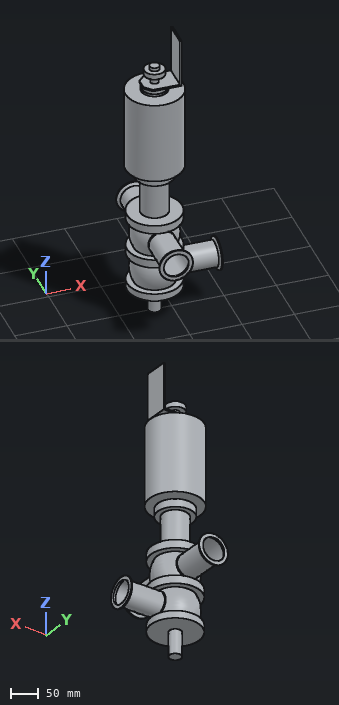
import cadquery as cq

drain_length = 51.0
bottom_flange_height = 15.0
flange_height = 17.0
chamber_height = 57.0
tube_length = 77.0
ring_height = 16.5
neck_length = 5.0
actuator_height = 164.0
collar_height = 4.5
seat_height = 7.5
stem_length = 20.5
knob_height = 11.0
tip_height = 7.0

drain_diameter = 25.0
flange_diameter = 105.0
chamber_end_diameter = 79.0
chamber_mid_diameter = 93.0
tube_diameter = 54.0
ring_diameter = 76.0
actuator_diameter = 111.0
collar_diameter = 51.0
seat_diameter = 50.0
stem_diameter = 16.0
knob_diameter = 40.0
tip_diameter = 19.5

port_span = 240.0
port_reach = port_span / 2
port_diameter = 51.0
port_bore = 47.5
ferrule_diameter = 64.0
ferrule_rim = 2.5
ferrule_taper = 3.5

total_height = 586.5
bracket_width = 50.0
bracket_thickness = 3.5
bracket_left = -25.0
bracket_right = 43.5
bracket_corner = 14.0

bottom_flange_z = drain_length
lower_chamber_z = bottom_flange_z + bottom_flange_height
middle_flange_z = lower_chamber_z + chamber_height
upper_chamber_z = middle_flange_z + flange_height
top_flange_z = upper_chamber_z + chamber_height
tube_z = top_flange_z + flange_height
ring_z = tube_z + tube_length
neck_z = ring_z + ring_height
actuator_z = neck_z + neck_length
collar_z = actuator_z + actuator_height
seat_z = collar_z + collar_height
bracket_z = seat_z + seat_height
knob_z = bracket_z + stem_length
tip_z = knob_z + knob_height
lower_port_z = lower_chamber_z + chamber_height / 2
upper_port_z = upper_chamber_z + chamber_height / 2


def disc(diameter, z, height):
    """Upright cylinder on the valve axis."""
    return cq.Workplane("XY").workplane(offset=z).circle(diameter / 2).extrude(height)


def make_chamber(z):
    """Solid barrel with a bulging arc as its side."""
    return (
        cq.Workplane("XZ")
        .moveTo(0, z)
        .lineTo(chamber_end_diameter / 2, z)
        .threePointArc(
            (chamber_mid_diameter / 2, z + chamber_height / 2),
            (chamber_end_diameter / 2, z + chamber_height),
        )
        .lineTo(0, z + chamber_height)
        .close()
        .revolve(360, (0, 0, 0), (0, 1, 0))
    )


def make_port(z, angle):
    """Tube with a tapered ferrule, pointing along +X and then turned about Z."""
    rim_x = port_reach - ferrule_rim
    port = (
        cq.Workplane("XZ")
        .moveTo(0, port_bore / 2)
        .lineTo(port_reach, port_bore / 2)
        .lineTo(port_reach, ferrule_diameter / 2)
        .lineTo(rim_x, ferrule_diameter / 2)
        .lineTo(rim_x - ferrule_taper, port_diameter / 2)
        .lineTo(0, port_diameter / 2)
        .close()
        .revolve(360, (0, 0, 0), (1, 0, 0))
    )
    return port.translate((0, 0, z)).rotate((0, 0, 0), (0, 0, 1), angle)


def make_valve():
    """Valve body, actuator and indicator stem as one solid."""
    valve = disc(drain_diameter, 0, drain_length)
    for diameter, z, height in [
        (flange_diameter, bottom_flange_z, bottom_flange_height),
        (flange_diameter, middle_flange_z, flange_height),
        (flange_diameter, top_flange_z, flange_height),
        (tube_diameter, tube_z, tube_length),
        (ring_diameter, ring_z, ring_height),
        (tube_diameter, neck_z, neck_length),
        (actuator_diameter, actuator_z, actuator_height),
        (collar_diameter, collar_z, collar_height),
        (seat_diameter, seat_z, seat_height),
        (stem_diameter, bracket_z, stem_length),
        (knob_diameter, knob_z, knob_height),
        (tip_diameter, tip_z, tip_height),
    ]:
        valve = valve.union(disc(diameter, z, height))
    for z in (lower_chamber_z, upper_chamber_z):
        valve = valve.union(make_chamber(z))
    for z, angle in [(lower_port_z, 0), (upper_port_z, 90), (upper_port_z, -90)]:
        valve = valve.union(make_port(z, angle))
    return valve


def make_bracket():
    """L-shaped plate with clipped corners and a hole for the stem."""
    length = bracket_right - bracket_left
    foot = (
        cq.Workplane("XY")
        .box(length, bracket_width, bracket_thickness, centered=(False, True, False))
        .edges("|Z and <X")
        .chamfer(bracket_corner)
        .translate((bracket_left, 0, bracket_z))
    )
    upright = (
        cq.Workplane("XY")
        .box(bracket_thickness, bracket_width, total_height - bracket_z, centered=(False, True, False))
        .translate((bracket_right - bracket_thickness, 0, bracket_z))
    )
    stem_hole = disc(stem_diameter, bracket_z, bracket_thickness)
    return foot.union(upright).cut(stem_hole)


valve = make_valve()
bracket = make_bracket()

result = cq.Compound.makeCompound([valve.val(), bracket.val()])